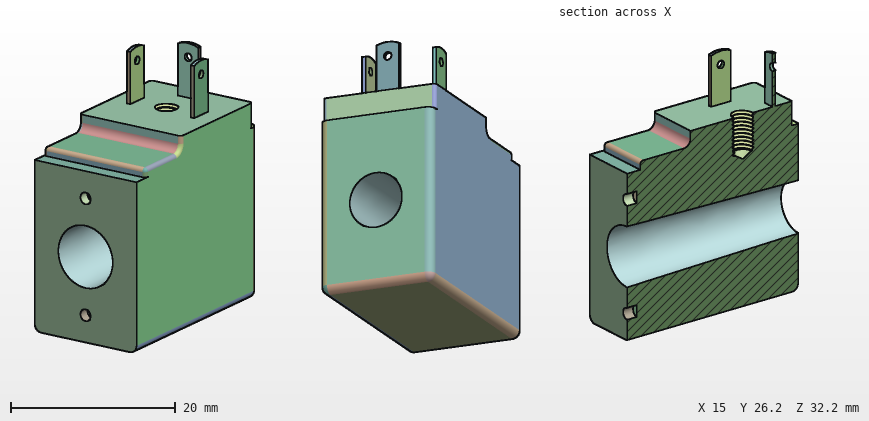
import cadquery as cq
import math

WIDTH = 15.0
DEPTH = 26.15
BODY_HEIGHT = 22.0
BODY_RADIUS = 1.0

BASE_TOP = 25.2
STEP_TOP = 23.15
BASE_FRONT = 9.65
BASE_BACK = DEPTH - BODY_RADIUS
STEP_FRONT = 2.0
STEP_INNER_RADIUS = 1.0
BASE_EDGE_RADIUS = 0.5

BORE_Z = BODY_HEIGHT / 2
BORE_FRONT_RADIUS = 4.0
BORE_BACK_RADIUS = 3.475
LOCATING_HOLE_RADIUS = 0.75
LOCATING_HOLE_DEPTH = 1.5
LOCATING_HOLE_OFFSET = 7.5

SCREW_Y = 17.7
SCREW_CREST_RADIUS = 1.23
SCREW_ROOT_RADIUS = 1.6
SCREW_PITCH = 0.5
SCREW_TURNS = 10
SCREW_DEPTH = SCREW_TURNS * SCREW_PITCH
SCREW_POINT_ANGLE = 118.0

BLADE_TOP = 32.2
BLADE_WIDTH = 3.0
BLADE_THICKNESS = 0.5
BLADE_CROWN = 0.3
BLADE_HOLE_RADIUS = 0.5
BLADE_HOLE_Z = 30.4
SIDE_BLADE_X = 4.7
CENTRE_BLADE_Y = 22.4


def coil_body():
    """Block with rounded lower side edges and rounded back edges."""
    block = cq.Workplane("XY").box(WIDTH, DEPTH, BODY_HEIGHT, centered=(True, False, False))
    return block.edges("(>Y and |Z) or (<Z and |Y) or (>Y and <Z)").fillet(BODY_RADIUS)


def connector_base():
    """Stepped block; its upright corners and the step's outer edges are rounded."""
    base = (
        cq.Workplane("YZ", origin=(-WIDTH / 2, 0, 0))
        .moveTo(STEP_FRONT, BODY_HEIGHT)
        .lineTo(BASE_BACK, BODY_HEIGHT)
        .lineTo(BASE_BACK, BASE_TOP)
        .lineTo(BASE_FRONT, BASE_TOP)
        .lineTo(BASE_FRONT, STEP_TOP + STEP_INNER_RADIUS)
        .radiusArc((BASE_FRONT - STEP_INNER_RADIUS, STEP_TOP), STEP_INNER_RADIUS)
        .lineTo(STEP_FRONT, STEP_TOP)
        .close()
        .extrude(WIDTH)
    )
    upright_corners = base.edges("|Z")
    step_front_edge = base.faces("<Y").edges(">Z")
    step_side_edges = base.edges("(<X or >X) and (not <Z) and (not >Z) and (not |Z)")
    rounded = upright_corners.add(step_front_edge).add(step_side_edges)
    return rounded.fillet(BASE_EDGE_RADIUS)


def tapered_bore():
    return (
        cq.Workplane("XZ", origin=(0, 0, BORE_Z))
        .circle(BORE_FRONT_RADIUS)
        .workplane(offset=-DEPTH)
        .circle(BORE_BACK_RADIUS)
        .loft()
    )


def locating_hole(side):
    centre = (0, 0, BORE_Z + side * LOCATING_HOLE_OFFSET)
    return cq.Workplane("XZ", origin=centre).circle(LOCATING_HOLE_RADIUS).extrude(-LOCATING_HOLE_DEPTH)


def helix(radius, bottom, rise):
    """Right-handed edge about the Z axis, starting on the +X side."""
    edge = cq.Wire.makeHelix(SCREW_PITCH, rise, radius).Edges()[0]
    return edge.translate(cq.Vector(0, 0, bottom))


def thread_ramp(bottom):
    """One turn of helical ramp from the thread crest in to the axis."""
    axis = cq.Edge.makeLine(cq.Vector(0, 0, bottom), cq.Vector(0, 0, bottom + SCREW_PITCH))
    return cq.Face.makeRuledSurface(helix(SCREW_CREST_RADIUS, bottom, SCREW_PITCH), axis)


def thread_section(bottom):
    """Radial face across one pitch, from the axis out to the thread root."""
    outline = [
        (0, bottom),
        (SCREW_CREST_RADIUS, bottom),
        (SCREW_ROOT_RADIUS, bottom + SCREW_PITCH / 2),
        (SCREW_CREST_RADIUS, bottom + SCREW_PITCH),
        (0, bottom + SCREW_PITCH),
    ]
    corners = [cq.Vector(radius, 0, height) for radius, height in outline]
    return cq.Face.makeFromWires(cq.Wire.makePolygon(corners, close=True))


def thread_space():
    """Space inside a sharp V thread, cut off level at Z = 0 and at the screw depth.

    The flanks are ruled between the crest helices and the root helix midway between them.
    They run one pitch past either level end, where a ramp and a radial face close the solid.
    """
    bottom = -SCREW_PITCH
    length = SCREW_DEPTH + 2 * SCREW_PITCH
    lower_crest = helix(SCREW_CREST_RADIUS, bottom, length)
    root = helix(SCREW_ROOT_RADIUS, bottom + SCREW_PITCH / 2, length)
    upper_crest = helix(SCREW_CREST_RADIUS, bottom + SCREW_PITCH, length)
    faces = [
        cq.Face.makeRuledSurface(lower_crest, root),
        cq.Face.makeRuledSurface(root, upper_crest),
    ]
    for end in (bottom, bottom + length):
        faces.append(thread_ramp(end))
        faces.append(thread_section(end))
    space = cq.Solid.makeSolid(cq.Shell.makeShell(faces))
    span = 4 * SCREW_ROOT_RADIUS
    level_ends = cq.Workplane("XY").box(span, span, SCREW_DEPTH, centered=(True, True, False))
    return cq.Workplane(space).intersect(level_ends)


def threaded_hole():
    """Blind threaded hole with a conical end."""
    point_length = SCREW_CREST_RADIUS / math.tan(math.radians(SCREW_POINT_ANGLE / 2))
    point = cq.Solid.makeCone(SCREW_CREST_RADIUS, 0, point_length, dir=cq.Vector(0, 0, -1))
    return thread_space().union(point).translate((0, SCREW_Y, BASE_TOP - SCREW_DEPTH))


def blade():
    """Blade on the Z axis, facing Y, standing on top of the connector base."""
    half_width = BLADE_WIDTH / 2
    shoulder = BLADE_TOP - BLADE_CROWN
    plate = (
        cq.Workplane("XZ", origin=(0, BLADE_THICKNESS / 2, 0))
        .moveTo(-half_width, BASE_TOP)
        .lineTo(half_width, BASE_TOP)
        .lineTo(half_width, shoulder)
        .threePointArc((0, BLADE_TOP), (-half_width, shoulder))
        .close()
        .extrude(BLADE_THICKNESS)
    )
    hole = (
        cq.Workplane("XZ", origin=(0, 0, BLADE_HOLE_Z))
        .circle(BLADE_HOLE_RADIUS)
        .extrude(BLADE_THICKNESS, both=True)
    )
    return plate.cut(hole)


result = coil_body().union(connector_base())
result = result.cut(tapered_bore())
result = result.cut(threaded_hole())
result = result.union(blade().translate((0, CENTRE_BLADE_Y, 0)))
for side in (-1, 1):
    side_blade = blade().rotate((0, 0, 0), (0, 0, 1), 90)
    result = result.union(side_blade.translate((side * SIDE_BLADE_X, SCREW_Y, 0)))
    result = result.cut(locating_hole(side))